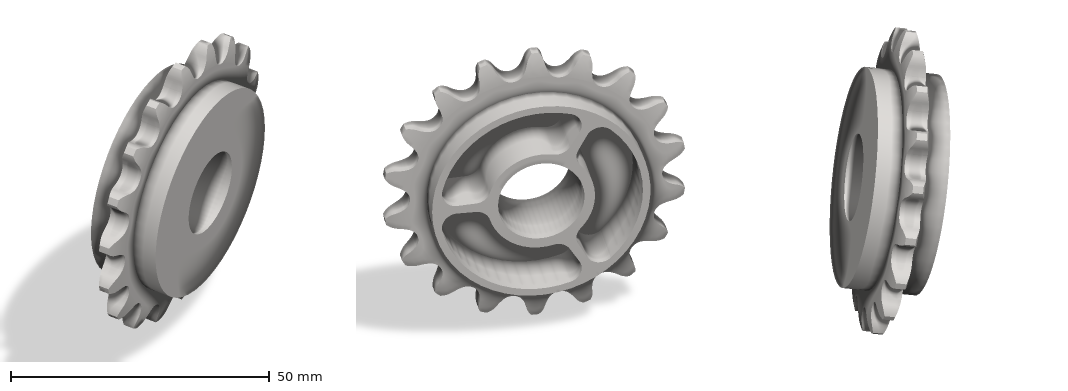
import cadquery as cq
import math


tooth_count = 18
tip_diameter = 59.75
roller_diameter = 5.1
seat_clearance = 0.05
plate_width = 4.2
plate_shift = 0.2
tip_width = 2.1
flank_start_radius = 25.0
gap_overrun = 0.3

hub_diameter = 43.0
hub_width = 14.35
bore_diameter = 17.0

pocket_count = 3
pocket_inner_radius = 10.6
pocket_outer_radius = 20.0
pocket_corner_radius = 3.0
pocket_depth = 10.15
spoke_half_width_at_rim = 0.8
spoke_half_width_at_core = 1.0

tip_radius = tip_diameter / 2
half_pitch_angle = 180 / tooth_count

tip_factor = 0.6
working_offset_factor = 0.8
topping_offset_factor = 1.4
seat_end_angle = 35 + 60 / tooth_count
working_sweep_angle = 18 - 56 / tooth_count

chain_pitch = tip_diameter / (tip_factor + 1 / math.tan(math.radians(half_pitch_angle)))
pitch_radius = chain_pitch / 2 / math.sin(math.radians(half_pitch_angle))


def polar(radius, degrees, origin=(0, 0)):
    """Point at a distance and direction from an origin."""
    angle = math.radians(degrees)
    return (origin[0] + radius * math.cos(angle), origin[1] + radius * math.sin(angle))


def mirrored(point):
    """Point reflected across the outline's centerline."""
    return (-point[0], point[1])


def make_plate():
    """Toothed disk before the gaps are cut, thinned by a round flank toward the tip."""
    half_width = plate_width / 2
    thinning = half_width - tip_width / 2
    flank_height = tip_radius - flank_start_radius
    flank_radius = (flank_height**2 + thinning**2) / (2 * thinning)
    mid_angle = math.degrees(math.asin(flank_height / flank_radius)) / 2
    right_mid = polar(flank_radius, mid_angle, (half_width - flank_radius, flank_start_radius))
    return (
        cq.Workplane("XY", origin=(plate_shift, 0, 0))
        .moveTo(-half_width, 0)
        .lineTo(half_width, 0)
        .lineTo(half_width, flank_start_radius)
        .threePointArc(right_mid, (tip_width / 2, tip_radius))
        .lineTo(-tip_width / 2, tip_radius)
        .threePointArc(mirrored(right_mid), (-half_width, flank_start_radius))
        .close()
        .revolve(360, (0, 0, 0), (1, 0, 0))
    )


def make_gap():
    """Cutter for one tooth gap: roller seat, working arcs, straight flanks and topping arcs.

    It is outlined about the center of the seated roller.
    """
    seat_radius = roller_diameter / 2 + seat_clearance
    flank_angle = seat_end_angle - working_sweep_angle
    seat_end = polar(seat_radius, -seat_end_angle)

    working_offset = working_offset_factor * roller_diameter
    working_center = polar(working_offset, 180 - seat_end_angle)
    working_radius = working_offset + seat_radius
    working_mid = polar(working_radius, -(seat_end_angle + flank_angle) / 2, working_center)
    working_end = polar(working_radius, -flank_angle, working_center)

    topping_offset = topping_offset_factor * roller_diameter
    topping_center = polar(topping_offset, -half_pitch_angle)
    across = math.radians(flank_angle)
    center_distance = (
        (topping_center[0] - working_center[0]) * math.cos(across)
        - (topping_center[1] - working_center[1]) * math.sin(across)
    )
    topping_radius = center_distance - working_radius
    topping_start_angle = 180 - flank_angle
    topping_start = polar(topping_radius, topping_start_angle, topping_center)

    clear_radius = tip_radius + gap_overrun
    center_x = topping_center[0]
    center_y = topping_center[1] + pitch_radius
    center_radius = math.hypot(center_x, center_y)
    cos_turn = clear_radius**2 - center_radius**2 - topping_radius**2
    cos_turn /= 2 * center_radius * topping_radius
    topping_end_angle = math.degrees(math.atan2(center_y, center_x) + math.acos(cos_turn))
    topping_mid = polar(topping_radius, (topping_start_angle + topping_end_angle) / 2, topping_center)
    topping_end = polar(topping_radius, topping_end_angle, topping_center)

    return (
        cq.Workplane("YZ", origin=(plate_shift - plate_width / 2, 0, pitch_radius))
        .moveTo(*mirrored(topping_end))
        .threePointArc(mirrored(topping_mid), mirrored(topping_start))
        .lineTo(*mirrored(working_end))
        .threePointArc(mirrored(working_mid), mirrored(seat_end))
        .threePointArc((0, -seat_radius), seat_end)
        .threePointArc(working_mid, working_end)
        .lineTo(*topping_start)
        .threePointArc(topping_mid, topping_end)
        .threePointArc((0, clear_radius - pitch_radius), mirrored(topping_end))
        .close()
        .extrude(plate_width)
    )


def make_pocket():
    """Cutter for one rounded pocket, centered on the -Y direction and open at the -X face."""
    spread = 180 / pocket_count
    outer_angle = spread - math.degrees(math.asin(spoke_half_width_at_rim / pocket_outer_radius))
    inner_angle = spread - math.degrees(math.asin(spoke_half_width_at_core / pocket_inner_radius))
    return (
        cq.Workplane("YZ", origin=(-hub_width / 2, 0, 0))
        .moveTo(*polar(pocket_outer_radius, 180 - outer_angle))
        .threePointArc((-pocket_outer_radius, 0), polar(pocket_outer_radius, 180 + outer_angle))
        .lineTo(*polar(pocket_inner_radius, 180 + inner_angle))
        .threePointArc((-pocket_inner_radius, 0), polar(pocket_inner_radius, 180 - inner_angle))
        .close()
        .extrude(pocket_depth)
        .edges("|X")
        .fillet(pocket_corner_radius)
    )


def through_cylinder(diameter):
    """Cylinder along X over the full hub width."""
    return cq.Workplane("YZ", origin=(-hub_width / 2, 0, 0)).circle(diameter / 2).extrude(hub_width)


def around_axis(shape, index, count):
    """Shape turned about X by a number of equal steps."""
    return shape.rotate((0, 0, 0), (1, 0, 0), index * 360 / count)


sprocket = make_plate()

gap = make_gap()
for index in range(tooth_count):
    sprocket = sprocket.cut(around_axis(gap, index + 0.5, tooth_count))

sprocket = sprocket.union(through_cylinder(hub_diameter))

pocket = make_pocket()
for index in range(pocket_count):
    sprocket = sprocket.cut(around_axis(pocket, index, pocket_count))

result = sprocket.cut(through_cylinder(bore_diameter))